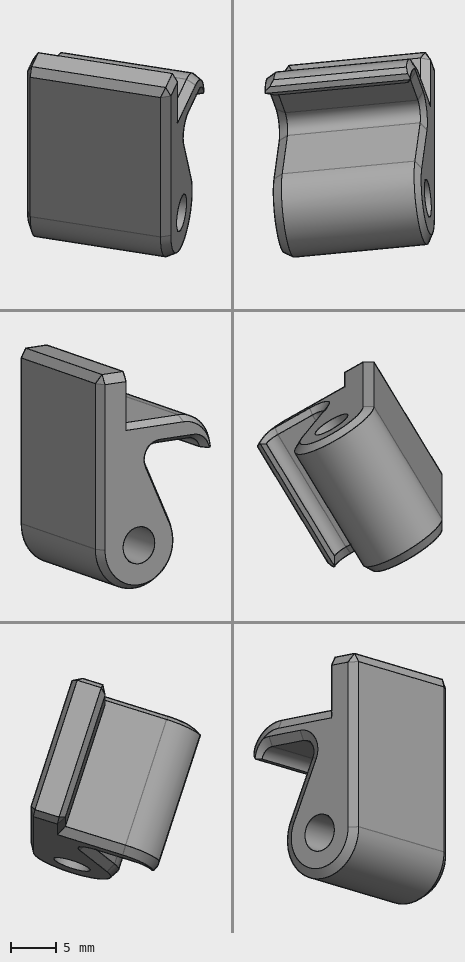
import cadquery as cq
import math


width = 16.6
barrel_radius = 5.1
pin_hole_diameter = 4.2
total_height = 25.0

plate_thickness = 4.0
plate_front = -barrel_radius
plate_back = plate_front + plate_thickness
plate_top = total_height - barrel_radius

ledge_top = 13.9
ledge_underside = 11.1
hook_start = 5.9
hook_outer_radius = 4.2
hook_end = 9.8
hook_tip_bottom = 9.9
hook_tip_bevel = 0.5

void_radius = 1.5
throat_y = 2.8
hook_inner_y = 7.25
void_arc_z = ledge_underside - void_radius

bevel_short = 0.6
bevel_long = bevel_short * math.sqrt(3)

clearance = 5.0

x_min = -width / 2
x_max = width / 2


def polar(center, radius, angle):
    """Point at an angle on a circle in the YZ plane."""
    return (center[0] + radius * math.cos(angle), center[1] + radius * math.sin(angle))


def profile_at(x):
    """Sketching plane at a given X, with local axes along Y and Z."""
    return cq.Workplane("YZ", origin=(x, 0, 0))


def end_bevelled(draw_profile):
    """Prism over the full width whose profile shrinks at both ends.

    The bevel takes bevel_long off the profile at the -X end and bevel_short at the +X end.
    """
    left_x = x_min + bevel_short
    right_x = x_max - bevel_long
    left_taper = math.degrees(math.atan2(bevel_long, bevel_short))
    right_taper = math.degrees(math.atan2(bevel_short, bevel_long))
    middle = draw_profile(profile_at(left_x)).extrude(right_x - left_x)
    left_end = draw_profile(profile_at(left_x)).extrude(-bevel_short, taper=left_taper)
    right_end = draw_profile(profile_at(right_x)).extrude(bevel_long, taper=right_taper)
    return middle.union(left_end).union(right_end)


def draw_upper_outline(plane):
    """Ledge top and outside of the hook, left oversize at the front and below."""
    hook_center = (hook_start, ledge_top - hook_outer_radius)
    front_y = plate_front - clearance
    floor_z = -barrel_radius - clearance
    return (
        plane.moveTo(front_y, ledge_top)
        .lineTo(hook_start, ledge_top)
        .threePointArc(
            polar(hook_center, hook_outer_radius, math.pi / 4),
            polar(hook_center, hook_outer_radius, 0),
        )
        .lineTo(hook_start + hook_outer_radius, floor_z)
        .lineTo(front_y, floor_z)
        .close()
    )


def draw_lower_outline(plane):
    """Front, barrel, sloping web, throat and inside of the hook, left oversize above and behind."""
    hook_center = (hook_inner_y, void_arc_z)
    throat_center = (throat_y, void_arc_z)
    center_distance = math.hypot(throat_y, void_arc_z)
    web_angle = math.atan2(void_arc_z, throat_y) - math.acos((barrel_radius + void_radius) / center_distance)
    web_top_angle = web_angle + math.pi
    back_y = hook_end + clearance
    ceiling_z = ledge_top + clearance
    floor_z = hook_tip_bottom - clearance
    return (
        plane.moveTo(plate_front, ceiling_z)
        .lineTo(plate_front, 0)
        .threePointArc((0, -barrel_radius), polar((0, 0), barrel_radius, web_angle))
        .lineTo(*polar(throat_center, void_radius, web_top_angle))
        .threePointArc(
            polar(throat_center, void_radius, (math.pi / 2 + web_top_angle) / 2),
            (throat_y, ledge_underside),
        )
        .lineTo(hook_inner_y, ledge_underside)
        .threePointArc(
            polar(hook_center, void_radius, math.pi / 4),
            polar(hook_center, void_radius, 0),
        )
        .lineTo(hook_inner_y + void_radius, floor_z)
        .lineTo(back_y, floor_z)
        .lineTo(back_y, ceiling_z)
        .close()
    )


def make_plate_cap(shoulder_outline, shoulder):
    """Bevelled top of the plate: four sloping sides joined by a triangular facet at each corner.

    The outline holds the eight corners in order, with its first side along the plate's front.
    """
    top_x = width / 2 - bevel_short
    top_front = plate_front + bevel_short
    top_back = plate_back - bevel_short
    base = [cq.Vector(x, y, shoulder) for x, y in shoulder_outline]
    top = [
        cq.Vector(x, y, plate_top)
        for x, y in [(-top_x, top_front), (top_x, top_front), (top_x, top_back), (-top_x, top_back)]
    ]
    outlines = [base, top]
    for corner in range(len(top)):
        following = (corner + 1) % len(top)
        side_start = base[2 * corner]
        side_end = base[2 * corner + 1]
        next_side_start = base[2 * following]
        outlines.append([side_start, side_end, top[following], top[corner]])
        outlines.append([side_end, next_side_start, top[following]])
    faces = [cq.Face.makeFromWires(cq.Wire.makePolygon(points, close=True)) for points in outlines]
    return cq.Workplane(cq.Solid.makeSolid(cq.Shell.makeShell(faces)))


def make_plate():
    """Upright plate with bevels on its vertical edges and around its top."""
    outline = [
        (x_min + bevel_short, plate_front),
        (x_max - bevel_long, plate_front),
        (x_max, plate_front + bevel_short),
        (x_max, plate_back - bevel_short),
        (x_max - bevel_long, plate_back),
        (x_min + bevel_long, plate_back),
        (x_min, plate_back - bevel_short),
        (x_min, plate_front + bevel_long),
    ]
    shoulder = plate_top - bevel_long
    column = cq.Workplane("XY").polyline(outline).close().extrude(shoulder)
    return column.union(make_plate_cap(outline, shoulder))


def make_tip_trim():
    """Cutter that leaves the hook with a flat end, a flat bottom and a small bevel between them."""
    outer_y = hook_end + clearance
    floor_z = -barrel_radius - clearance
    return (
        profile_at(x_min)
        .polyline([
            (hook_inner_y, hook_tip_bottom),
            (hook_end - hook_tip_bevel, hook_tip_bottom),
            (hook_end, hook_tip_bottom + hook_tip_bevel),
            (hook_end, ledge_top),
            (outer_y, ledge_top),
            (outer_y, floor_z),
            (hook_inner_y, floor_z),
        ])
        .close()
        .extrude(width)
    )


def make_pin_hole():
    return profile_at(x_min).circle(pin_hole_diameter / 2).extrude(width)


body = end_bevelled(draw_upper_outline).intersect(end_bevelled(draw_lower_outline))
body = body.cut(make_tip_trim())
result = body.union(make_plate()).cut(make_pin_hole())